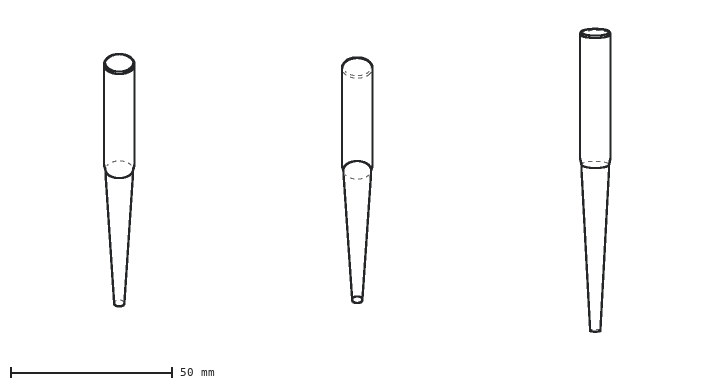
import cadquery as cq

total_length = 95.2

shank_radius = 4.8
top_chamfer_width = 0.4
top_chamfer_height = 0.7
shank_shoulder_z = 55.0

neck_radius = 4.3
neck_top_z = 52.9
taper_top_z = 50.9
tip_radius = 1.6


def revolve_profile(points):
    """Turn a closed (radius, z) outline around the Z axis, starting on the -Y side."""
    outline = [(-radius, z) for radius, z in points]
    return cq.Workplane("YZ").polyline(outline).close().revolve(360, (0, 0), (0, 1))


def make_shank():
    """Gripping cylinder with a chamfered top and a cone down to the neck."""
    return revolve_profile([
        (0, neck_top_z),
        (neck_radius, neck_top_z),
        (shank_radius, shank_shoulder_z),
        (shank_radius, total_length - top_chamfer_height),
        (shank_radius - top_chamfer_width, total_length),
        (0, total_length),
    ])


def make_cutter():
    """Short cylindrical neck, then a long taper to a small flat tip."""
    return revolve_profile([
        (0, 0),
        (tip_radius, 0),
        (neck_radius, taper_top_z),
        (neck_radius, neck_top_z),
        (0, neck_top_z),
    ])


shank = make_shank()
cutter = make_cutter()

result = cq.Compound.makeCompound([shank.val(), cutter.val()])